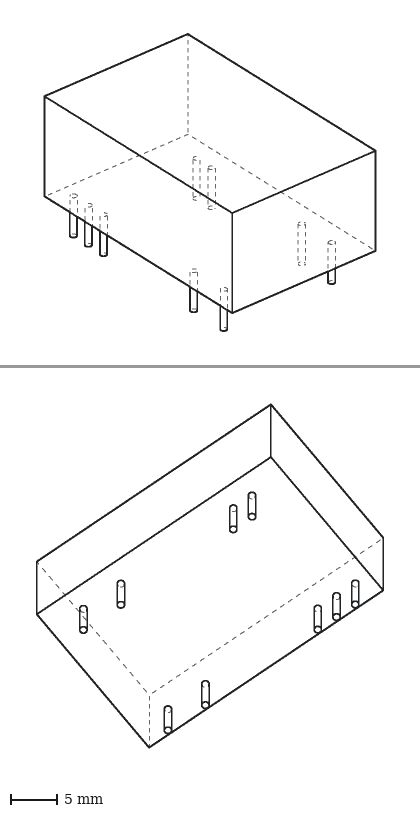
import cadquery as cq

housing_length = 31.8
housing_width = 20.3
housing_height = 12.72

pin_diameter = 0.8
pin_length = 5.1
pitch = 2.55
positions_per_row = 12
row_spacing = 6 * pitch

front_row_positions = [1, 2, 3, 9, 11]
back_row_positions = [2, 3, 9, 11]


def make_housing():
    return cq.Workplane("XY").box(
        housing_length, housing_width, housing_height, centered=(True, True, False)
    )


def position_x(position):
    """X of a grid position, with the full row centred on the housing."""
    row_length = (positions_per_row - 1) * pitch
    return (position - 1) * pitch - row_length / 2


def make_pin(x, y):
    """One pin whose top end touches the underside of the housing."""
    return cq.Workplane("XY").center(x, y).circle(pin_diameter / 2).extrude(-pin_length)


housing = make_housing()

pins = []
for row_y, positions in (
    (-row_spacing / 2, front_row_positions),
    (row_spacing / 2, back_row_positions),
):
    for position in positions:
        pins.append(make_pin(position_x(position), row_y))

result = cq.Compound.makeCompound([housing.val(), *[pin.val() for pin in pins]])